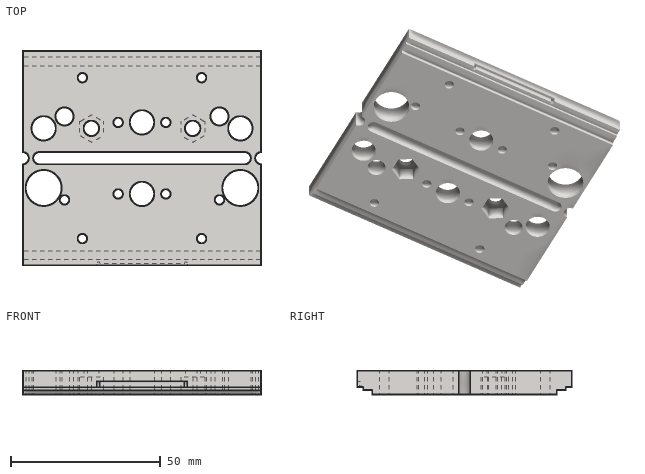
import cadquery as cq
import math

LENGTH_X = 80.0
WIDTH_Y = 72.0
THICKNESS = 8.0

MIDDLE_HALF_Y = 34.0
MIDDLE_TOP_Z = 2.5
BOTTOM_HALF_Y = 31.0
BOTTOM_TOP_Z = 1.5

SLOT_WIDTH = 4.0
SLOT_LENGTH = 73.0
NOTCH_DIAMETER = SLOT_WIDTH

RECESS_LENGTH = 30.4
RECESS_TOP_Z = 4.5
RECESS_DEPTH = 0.75
RECESS_RELIEF_RADIUS = 0.5

NUT_BOLT_DIAMETER = 5.1
NUT_X = 17.0
NUT_Y = 10.0
NUT_ACROSS_FLATS = 8.0
NUT_POCKET_DEPTH = 6.0

PAIRED_HOLES = [
    (3.1, 20.0, 27.0),
    (3.1, 20.0, -27.0),
    (3.1, 8.0, 12.0),
    (3.1, 8.0, -12.0),
    (3.1, 26.0, -14.0),
    (NUT_BOLT_DIAMETER, NUT_X, NUT_Y),
    (6.0, 26.0, 14.0),
    (8.1, 33.0, 10.0),
    (12.0, 33.0, -10.0),
]
CENTRE_HOLE_DIAMETER = 8.1
CENTRE_HOLE_Y = 12.0


def stepped_plate():
    """Plate whose front and back edges step inward towards the underside."""
    half_y = WIDTH_Y / 2
    back_side = [
        (BOTTOM_HALF_Y, 0),
        (BOTTOM_HALF_Y, BOTTOM_TOP_Z),
        (MIDDLE_HALF_Y, BOTTOM_TOP_Z),
        (MIDDLE_HALF_Y, MIDDLE_TOP_Z),
        (half_y, MIDDLE_TOP_Z),
        (half_y, THICKNESS),
    ]
    front_side = [(-y, z) for y, z in reversed(back_side)]
    profile = cq.Workplane("YZ").polyline(back_side + front_side).close()
    return profile.extrude(LENGTH_X / 2, both=True)


def through_holes(diameter, centres):
    """Cylinders through the full thickness at the given XY centres."""
    return cq.Workplane("XY").pushPoints(centres).circle(diameter / 2).extrude(THICKNESS)


def long_slot():
    """Round-ended slot through the full thickness."""
    return cq.Workplane("XY").slot2D(SLOT_LENGTH, SLOT_WIDTH).extrude(THICKNESS)


def front_recess():
    """Shallow cut open to the front and downward, with a round relief in each back corner."""
    relief_x = RECESS_LENGTH / 2 - RECESS_RELIEF_RADIUS
    back_y = RECESS_DEPTH - WIDTH_Y / 2
    pocket = (
        cq.Workplane("XY")
        .center(0, -WIDTH_Y / 2)
        .rect(RECESS_LENGTH, 2 * RECESS_DEPTH)
        .extrude(RECESS_TOP_Z)
    )
    reliefs = (
        cq.Workplane("XY")
        .pushPoints([(-relief_x, back_y), (relief_x, back_y)])
        .circle(RECESS_RELIEF_RADIUS)
        .extrude(RECESS_TOP_Z)
    )
    return pocket.union(reliefs)


def nut_pockets():
    """Hexagonal prisms with two flats facing along X and corners along Y."""
    across_corners = NUT_ACROSS_FLATS / math.cos(math.pi / 6)
    hexagons = cq.Workplane("XY")
    for nut_x in (-NUT_X, NUT_X):
        prism = cq.Workplane("XY").polygon(6, across_corners).extrude(NUT_POCKET_DEPTH)
        prism = prism.rotate((0, 0, 0), (0, 0, 1), 90)
        hexagons = hexagons.add(prism.translate((nut_x, NUT_Y, 0)))
    return hexagons.combine()


result = stepped_plate()
result = result.cut(long_slot())
result = result.cut(front_recess())
result = result.cut(nut_pockets())
result = result.cut(through_holes(NOTCH_DIAMETER, [(-LENGTH_X / 2, 0), (LENGTH_X / 2, 0)]))
result = result.cut(through_holes(CENTRE_HOLE_DIAMETER, [(0, CENTRE_HOLE_Y), (0, -CENTRE_HOLE_Y)]))
for hole_diameter, x_offset, hole_y in PAIRED_HOLES:
    result = result.cut(through_holes(hole_diameter, [(-x_offset, hole_y), (x_offset, hole_y)]))